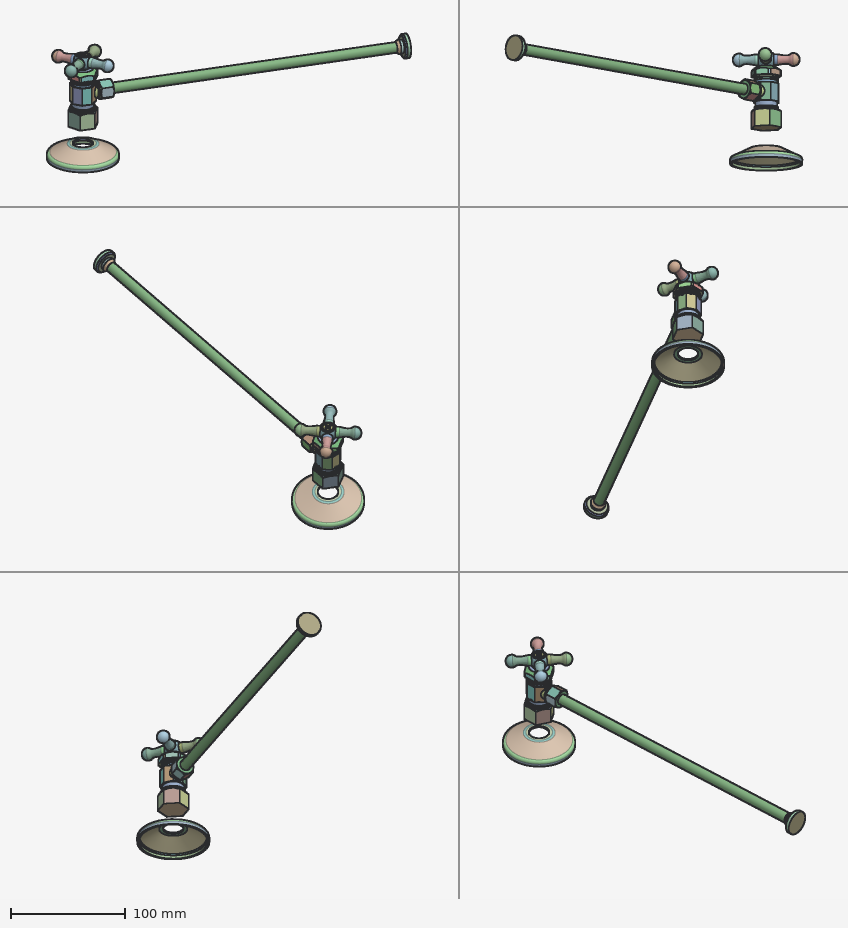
import cadquery as cq
import math


overall_length = 331.5

plate_radius = 63.5 / 2
plate_height = 14.3
rim_height = 3.0
shoulder_height = 6.0
shoulder_radius = 29.2
crown_radius = 14.0
crown_flat_radius = 11.5
crown_drop = 0.5
plate_hole_radius = 9.0
plate_wall = 1.5

inlet_base = 31.8
inlet_hex_top = 47.0
inlet_collar_top = 50.0
octagon_base = 54.7
octagon_top = 71.0
bonnet_collar_base = 73.5
bonnet_hex_base = 77.5
bonnet_chamfer_base = 83.2
bonnet_top = 85.5
outlet_height = (octagon_base + octagon_top) / 2

hex_flats = 24.0
inlet_chamfer = 1.0
bonnet_top_radius = 9.0
bonnet_corner_radius = 13.3
collar_radius = 10.5
neck_radius = 19.5 / 2
octagon_flats = 21.5
stem_radius = 4.3
groove_width = 0.5
groove_depth = 0.5

outlet_boss_radius = 7.0
outlet_thread_radius = 6.0
outlet_boss_end = 12.3
nut_start = 13.5
nut_end = 26.2
riser_start = 20.0
nut_flats = 16.0
nut_chamfer = 1.0
nut_face_radius = 7.0
nut_face_chamfer = 1.5

riser_radius = 9.5 / 2
riser_end = overall_length - plate_radius
flange_radius = 11.0
flange_thickness = 4.5
flange_chamfer = 1.3
barrel_radius = 6.5
barrel_waist_radius = 6.0
barrel_length = 3.0
head_cone_length = 3.0

handle_top = 98.8
handle_height = 92.5
handle_base = 86.5
hub_radius = 8.3
button_radius = 4.5
button_height = 0.5
recess_length = 5.0
recess_width = 1.3
arm_count = 4
first_arm_angle = 45
collar_end = 10.0
arm_root_radius = 9.5 / 2
arm_neck_radius = 7.5 / 2
arm_neck_place = 17.2
ball_place = 23.5
ball_blend_place = 20.2
ball_blend_radius = 4.3
ball_radius = 11.5 / 2


def disc(radius, bottom, top):
    """Vertical cylinder on the valve axis."""
    return cq.Workplane("XY").workplane(offset=bottom).circle(radius).extrude(top - bottom)


def prism(sides, flats, bottom, top):
    """Vertical regular prism on the valve axis with flats facing +X and -X."""
    turn = 180 / sides
    corner_diameter = flats / math.cos(math.pi / sides)
    solid = cq.Workplane("XY").polygon(sides, corner_diameter).extrude(top - bottom)
    return solid.rotate((0, 0, 0), (0, 0, 1), turn).translate((0, 0, bottom))


def turned(points):
    """Solid of revolution about Z from (radius, height) points."""
    return cq.Workplane("XZ").polyline(points).close().revolve(360, (0, 0, 0), (0, 1, 0))


def along_outlet(solid):
    """Lay a solid built on Z along the outlet axis, so its height runs along +Y."""
    return solid.rotate((0, 0, 0), (1, 0, 0), -90).translate((0, 0, outlet_height))


def make_escutcheon():
    rim_drop = shoulder_height - rim_height
    rim_run = plate_radius - shoulder_radius
    arc_share = math.sqrt(0.5)
    rim_mid = (shoulder_radius + rim_run * arc_share, rim_height + rim_drop * arc_share)
    return (
        cq.Workplane("XZ")
        .moveTo(plate_radius, 0)
        .lineTo(plate_radius, rim_height)
        .threePointArc(rim_mid, (shoulder_radius, shoulder_height))
        .lineTo(crown_radius, plate_height - crown_drop)
        .lineTo(crown_flat_radius, plate_height)
        .lineTo(plate_hole_radius, plate_height)
        .lineTo(plate_hole_radius, plate_height - plate_wall)
        .lineTo(crown_radius - plate_wall, plate_height - plate_wall)
        .lineTo(shoulder_radius, shoulder_height - plate_wall)
        .lineTo(plate_radius - plate_wall, rim_height)
        .lineTo(plate_radius - plate_wall, 0)
        .close()
        .revolve(360, (0, 0, 0), (0, 1, 0))
    )


def grooved_collar(bottom, top):
    """Round collar with a groove around its middle."""
    middle = (bottom + top) / 2
    low = middle - groove_width / 2
    high = middle + groove_width / 2
    core = disc(collar_radius - groove_depth, low, high)
    return disc(collar_radius, bottom, low).union(core).union(disc(collar_radius, high, top))


def make_inlet_hex():
    corner = hex_flats / math.sqrt(3)
    trim = turned([
        (0, inlet_base),
        (corner, inlet_base),
        (corner, inlet_hex_top - inlet_chamfer),
        (hex_flats / 2, inlet_hex_top),
        (0, inlet_hex_top),
    ])
    return prism(6, hex_flats, inlet_base, inlet_hex_top).intersect(trim)


def make_bonnet_hex():
    flat_radius = hex_flats / 2
    slope = (bonnet_top - bonnet_chamfer_base) / (flat_radius - bonnet_top_radius)
    trim = turned([
        (0, bonnet_hex_base),
        (bonnet_corner_radius, bonnet_hex_base),
        (bonnet_corner_radius, bonnet_chamfer_base - slope * (bonnet_corner_radius - flat_radius)),
        (bonnet_top_radius, bonnet_top),
        (0, bonnet_top),
    ])
    return prism(6, hex_flats, bonnet_hex_base, bonnet_top).intersect(trim)


def make_valve():
    valve = make_inlet_hex()
    valve = valve.union(grooved_collar(inlet_hex_top, inlet_collar_top))
    valve = valve.union(disc(neck_radius, inlet_collar_top, bonnet_collar_base))
    valve = valve.union(prism(8, octagon_flats, octagon_base, octagon_top))
    valve = valve.union(grooved_collar(bonnet_collar_base, bonnet_hex_base))
    valve = valve.union(make_bonnet_hex())
    valve = valve.union(disc(stem_radius, bonnet_top, handle_base))
    outlet = disc(outlet_thread_radius, 0, riser_start)
    outlet = outlet.union(disc(outlet_boss_radius, 0, outlet_boss_end))
    return valve.union(along_outlet(outlet))


def make_outlet_nut():
    corner = nut_flats / math.sqrt(3)
    trim = turned([
        (0, nut_start),
        (nut_face_radius, nut_start),
        (corner, nut_start + nut_face_chamfer),
        (corner, nut_end - nut_chamfer),
        (nut_flats / 2, nut_end),
        (0, nut_end),
    ])
    nut = prism(6, nut_flats, nut_start, nut_end).intersect(trim)
    nut = nut.cut(disc(outlet_thread_radius, nut_start, riser_start))
    nut = nut.cut(disc(riser_radius, riser_start, nut_end))
    return along_outlet(nut)


def make_riser():
    flange_start = riser_end - flange_thickness
    barrel_start = flange_start - barrel_length
    return along_outlet(turned([
        (0, riser_start),
        (riser_radius, riser_start),
        (riser_radius, barrel_start - head_cone_length),
        (barrel_radius, barrel_start),
        (barrel_waist_radius, flange_start),
        (flange_radius - flange_chamfer, flange_start),
        (flange_radius, flange_start + flange_chamfer),
        (flange_radius, riser_end),
        (0, riser_end),
    ]))


def make_arm():
    """One handle arm along +X: root collar, waisted neck and ball end."""
    arm_start_tangent = (1, -0.2)
    ball_mid = ball_radius * math.sqrt(0.5)
    return (
        cq.Workplane("XY")
        .lineTo(0, arm_root_radius)
        .lineTo(collar_end, arm_root_radius)
        .spline(
            [
                (arm_neck_place, arm_neck_radius),
                (ball_blend_place, ball_blend_radius),
                (ball_place, ball_radius),
            ],
            tangents=[arm_start_tangent, (1, 0)],
            includeCurrent=True,
        )
        .threePointArc((ball_place + ball_mid, ball_mid), (ball_place + ball_radius, 0))
        .close()
        .revolve(360, (0, 0, 0), (1, 0, 0))
        .translate((0, 0, handle_height))
    )


def make_handle():
    hub_top = handle_top - button_height
    hub = cq.Workplane("XY").sphere(hub_radius).translate((0, 0, handle_height))
    handle = hub.intersect(disc(hub_radius, handle_base, hub_top))
    for index in range(arm_count):
        turn = first_arm_angle + index * 360 / arm_count
        handle = handle.union(make_arm().rotate((0, 0, 0), (0, 0, 1), turn))
    handle = handle.union(disc(button_radius, hub_top, handle_top))
    slot = (
        cq.Workplane("XY")
        .workplane(offset=hub_top)
        .rect(recess_length, recess_width)
        .extrude(button_height)
    )
    cross = slot.union(slot.rotate((0, 0, 0), (0, 0, 1), 90))
    return handle.cut(cross)


escutcheon = make_escutcheon()
valve = make_valve()
outlet_nut = make_outlet_nut()
riser = make_riser()
handle = make_handle()

result = cq.Compound.makeCompound([
    escutcheon.solids().val(),
    valve.solids().val(),
    outlet_nut.solids().val(),
    riser.solids().val(),
    handle.solids().val(),
])